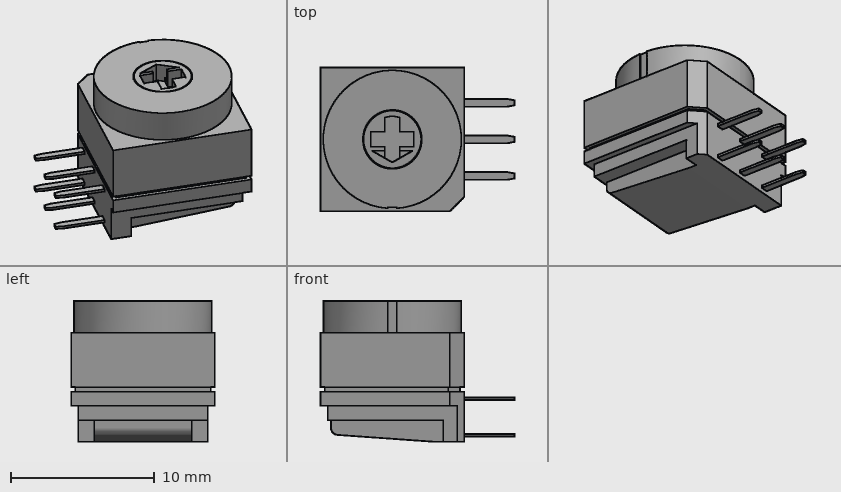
import cadquery as cq
import math


BODY_SIZE = 10.0
CORNER_CHAMFER = 1.0
HOUSING_TOP = 7.6
HOUSING_BOTTOM = 3.8
FLANGE_TOP = 3.5
FLANGE_BOTTOM = 2.5
NECK_INSET = 0.29

BASE_INSET = 0.5
BASE_BOTTOM = 1.5
FOOT_LENGTH = 1.46

BLOCK_WIDTH = 6.75
BLOCK_FRONT_X = -4.27
BLOCK_FRONT_Z = 0.51
BLOCK_SLOPE_END_X = 2.9
BLOCK_EDGE_RADIUS = 0.5

DIAL_DIAMETER = 9.6
DIAL_HEIGHT = 2.2
NOTCH_WIDTH = 0.6
NOTCH_DEPTH = 0.1
ROTOR_DIAMETER = 4.0
ROTOR_BORE = 4.1
ROTOR_GAP_DEPTH = 0.5

SLOT_WIDTH = 1.05
SLOT_LENGTH = 3.0
SLOT_REACH = 1.6
CROSS_DEPTH = 1.3
ARROW_HALF_WIDTH = 1.4
ARROW_SHOULDER_Y = -0.8
ARROW_DEPTH = 1.0

PIN_PITCH = 2.54
PIN_WIDTH = 0.55
PIN_THICKNESS = 0.2
PIN_TIP_WIDTH = 0.36
PIN_TAPER_LENGTH = 0.5
PIN_LENGTH = 3.5
UPPER_PIN_Z = 3.0
PIN_COLUMNS = (-1, 0, 1)
PIN_ROWS = (0, 1)

HALF_BODY = BODY_SIZE / 2
HALF_BASE = HALF_BODY - BASE_INSET
DIAL_TOP = HOUSING_TOP + DIAL_HEIGHT


def chamfered_square(inset, bottom, top):
    """Square slab with the +X -Y corner cut off; an inset keeps every side parallel."""
    half = HALF_BODY - inset
    cut = CORNER_CHAMFER - inset * (2 - math.sqrt(2))
    return (
        cq.Workplane("XY", origin=(0, 0, bottom))
        .moveTo(-half, -half)
        .lineTo(half - cut, -half)
        .lineTo(half, cut - half)
        .lineTo(half, half)
        .lineTo(-half, half)
        .close()
        .extrude(top - bottom)
    )


def box_between(x_range, half_width, z_range):
    """Box symmetric about the XZ plane."""
    length = x_range[1] - x_range[0]
    height = z_range[1] - z_range[0]
    box = cq.Workplane("XY").box(length, 2 * half_width, height, centered=(False, True, False))
    return box.translate((x_range[0], 0, z_range[0]))


def make_housing():
    """Upper housing and flange, separated by a narrow groove."""
    housing = chamfered_square(0, HOUSING_BOTTOM, HOUSING_TOP)
    neck = chamfered_square(NECK_INSET, FLANGE_TOP, HOUSING_BOTTOM)
    flange = chamfered_square(0, FLANGE_BOTTOM, FLANGE_TOP)
    return housing.union(neck).union(flange)


def make_base():
    """Narrower step below the flange with a full-width foot, both trimmed by the corner chamfer."""
    step = box_between((-HALF_BASE, HALF_BODY), HALF_BASE, (BASE_BOTTOM, FLANGE_BOTTOM))
    foot = box_between((HALF_BODY - FOOT_LENGTH, HALF_BODY), HALF_BASE, (0, BASE_BOTTOM))
    outline = chamfered_square(0, 0, FLANGE_BOTTOM)
    return step.union(foot).intersect(outline)


def make_block():
    """Central block whose underside slopes up toward a rounded -X edge."""
    return (
        cq.Workplane("XZ")
        .moveTo(BLOCK_FRONT_X, BASE_BOTTOM)
        .lineTo(BLOCK_FRONT_X, BLOCK_FRONT_Z)
        .lineTo(BLOCK_SLOPE_END_X, 0)
        .lineTo(HALF_BODY, 0)
        .lineTo(HALF_BODY, BASE_BOTTOM)
        .close()
        .extrude(BLOCK_WIDTH / 2, both=True)
        .edges("|Y and <X")
        .edges("<Z")
        .fillet(BLOCK_EDGE_RADIUS)
    )


def make_recess():
    """Cross with a rounded upper arm, its lower arm running to the tip of a shallower arrow head."""
    half_slot = SLOT_WIDTH / 2
    arm_corner_y = math.sqrt(SLOT_REACH**2 - half_slot**2)
    flank_slope = (SLOT_REACH + ARROW_SHOULDER_Y) / ARROW_HALF_WIDTH
    flank_y = half_slot * flank_slope - SLOT_REACH

    side_arms = cq.Workplane("XY").rect(SLOT_LENGTH, SLOT_WIDTH).extrude(-CROSS_DEPTH)
    stem = (
        cq.Workplane("XY")
        .moveTo(0, -SLOT_REACH)
        .lineTo(half_slot, flank_y)
        .lineTo(half_slot, arm_corner_y)
        .threePointArc((0, SLOT_REACH), (-half_slot, arm_corner_y))
        .lineTo(-half_slot, flank_y)
        .close()
        .extrude(-CROSS_DEPTH)
    )
    arrow_points = [
        (0, -SLOT_REACH),
        (ARROW_HALF_WIDTH, ARROW_SHOULDER_Y),
        (-ARROW_HALF_WIDTH, ARROW_SHOULDER_Y),
    ]
    arrow = cq.Workplane("XY").polyline(arrow_points).close().extrude(-ARROW_DEPTH)
    return side_arms.union(stem).union(arrow).translate((0, 0, DIAL_TOP))


def make_dial():
    """Dial with its index notch, the ring gap around the rotor and the screwdriver recess."""
    dial = cq.Workplane("XY", origin=(0, 0, HOUSING_TOP)).circle(DIAL_DIAMETER / 2).extrude(DIAL_HEIGHT)
    notch = (
        cq.Workplane("XY", origin=(0, -DIAL_DIAMETER / 2, HOUSING_TOP))
        .rect(NOTCH_WIDTH, 2 * NOTCH_DEPTH)
        .extrude(DIAL_HEIGHT)
    )
    rotor_gap = (
        cq.Workplane("XY", origin=(0, 0, DIAL_TOP))
        .circle(ROTOR_BORE / 2)
        .circle(ROTOR_DIAMETER / 2)
        .extrude(-ROTOR_GAP_DEPTH)
    )
    return dial.cut(notch).cut(rotor_gap).cut(make_recess())


def make_pin(y, z):
    """Flat terminal leaving the +X side, tapered toward its tip."""
    tip_x = HALF_BODY + PIN_LENGTH
    taper_x = tip_x - PIN_TAPER_LENGTH
    outline = [
        (HALF_BODY, -PIN_WIDTH / 2),
        (taper_x, -PIN_WIDTH / 2),
        (tip_x, -PIN_TIP_WIDTH / 2),
        (tip_x, PIN_TIP_WIDTH / 2),
        (taper_x, PIN_WIDTH / 2),
        (HALF_BODY, PIN_WIDTH / 2),
    ]
    pin = cq.Workplane("XY").polyline(outline).close().extrude(PIN_THICKNESS / 2, both=True)
    return pin.translate((0, y, z))


result = make_housing().union(make_base()).union(make_block()).union(make_dial())
for row in PIN_ROWS:
    for column in PIN_COLUMNS:
        result = result.union(make_pin(column * PIN_PITCH, UPPER_PIN_Z - row * PIN_PITCH))